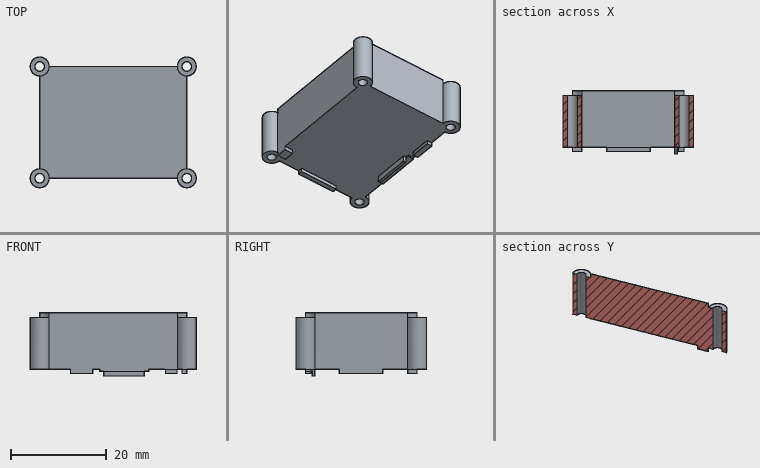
import cadquery as cq

body_length = 30.8
body_width = 23.4
body_height = 11.9
half_length = body_length / 2
half_width = body_width / 2

post_diameter = 4.0
post_recess = 1.0
post_height = body_height - post_recess
screw_hole_diameter = 1.95

block_drop = 0.9

front_tab_x_min = -9.0
front_tab_length = 4.75
front_tab_width = 1.2

connector_base_x_min = -2.85
connector_base_length = 10.3
connector_base_width = 1.4
connector_base_drop = 0.4

connector_x_min = -2.0
connector_length = 8.5
connector_width = 0.6
connector_drop = 1.4

back_block_x_min = 10.9
back_block_length = 2.45
back_block_width = 2.0

side_block_length = 1.05
side_block_width = 9.2
side_block_y_min = -4.65


def make_housing():
    return cq.Workplane("XY").box(body_length, body_width, body_height, centered=(True, True, False))


def at_corners(workplane):
    """Place points on the four vertical edges of the housing."""
    return workplane.rect(body_length, body_width, forConstruction=True).vertices()


def add_screw_posts(part):
    """Add the posts, clear the housing corners above them and drill them through."""
    posts = at_corners(cq.Workplane("XY")).circle(post_diameter / 2).extrude(post_height)
    clearance_plane = cq.Workplane("XY").workplane(offset=post_height)
    clearances = at_corners(clearance_plane).circle(post_diameter / 2).extrude(post_recess)
    holes = at_corners(cq.Workplane("XY")).circle(screw_hole_diameter / 2).extrude(post_height)
    return part.union(posts).cut(clearances).cut(holes)


def underside_block(x_min, y_min, length, width, drop):
    """Rectangular block hanging from the underside, located by its minimum X and Y."""
    return cq.Workplane("XY").box(length, width, drop, centered=False).translate((x_min, y_min, -drop))


def add_front_tab(part):
    tab = underside_block(front_tab_x_min, -half_width, front_tab_length, front_tab_width, block_drop)
    return part.union(tab)


def add_connector(part):
    """Shallow base flush with the front face, with a deeper strip directly behind it."""
    base = underside_block(
        connector_base_x_min, -half_width,
        connector_base_length, connector_base_width, connector_base_drop,
    )
    connector_y_min = -half_width + connector_base_width
    strip = underside_block(
        connector_x_min, connector_y_min, connector_length, connector_width, connector_drop,
    )
    return part.union(base).union(strip)


def add_back_block(part):
    """Block flush with the back face."""
    y_min = half_width - back_block_width
    block = underside_block(back_block_x_min, y_min, back_block_length, back_block_width, block_drop)
    return part.union(block)


def add_side_block(part):
    """Long block flush with the +X face."""
    x_min = half_length - side_block_length
    block = underside_block(x_min, side_block_y_min, side_block_length, side_block_width, block_drop)
    return part.union(block)


result = make_housing()
result = add_screw_posts(result)
result = add_front_tab(result)
result = add_connector(result)
result = add_back_block(result)
result = add_side_block(result)